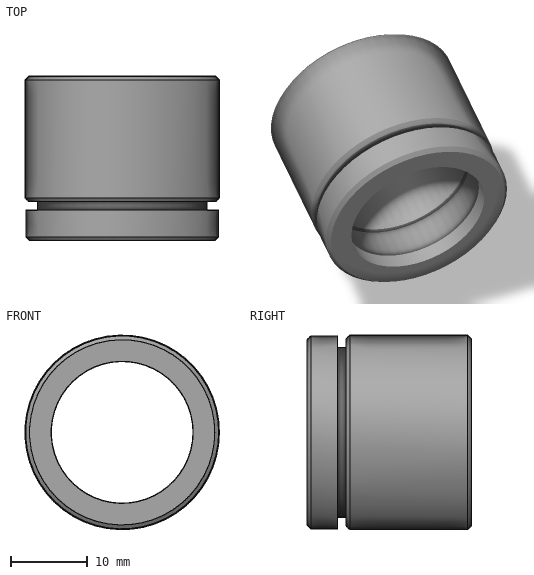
import cadquery as cq

body_diameter = 25.4
length = 21.5
front_bore_diameter = 18.5
rear_bore_diameter = 18.85
edge_chamfer = 0.5

collar_diameter = 25.2
collar_length = 4.0
groove_width = 1.1
groove_diameter = 22.2

recess_diameter = 20.02
recess_start = 2.0
recess_width = 5.0


def cylinder(diameter, start, width):
    """Cylinder along +Y whose front face is at Y = start."""
    return (
        cq.Workplane("XZ", origin=(0, start, 0))
        .circle(diameter / 2)
        .extrude(-width)
    )


body_start = collar_length + groove_width
collar = cylinder(collar_diameter, 0, collar_length).faces("<Y").chamfer(edge_chamfer)
groove_core = cylinder(groove_diameter, collar_length, groove_width)
body = cylinder(body_diameter, body_start, length - body_start)
body = body.faces("<Y or >Y").chamfer(edge_chamfer)

recess_end = recess_start + recess_width
front_bore = cylinder(front_bore_diameter, 0, recess_start)
rear_bore = cylinder(rear_bore_diameter, recess_end, length - recess_end)
recess = cylinder(recess_diameter, recess_start, recess_width)

result = collar.union(groove_core).union(body)
result = result.cut(front_bore).cut(recess).cut(rear_bore)